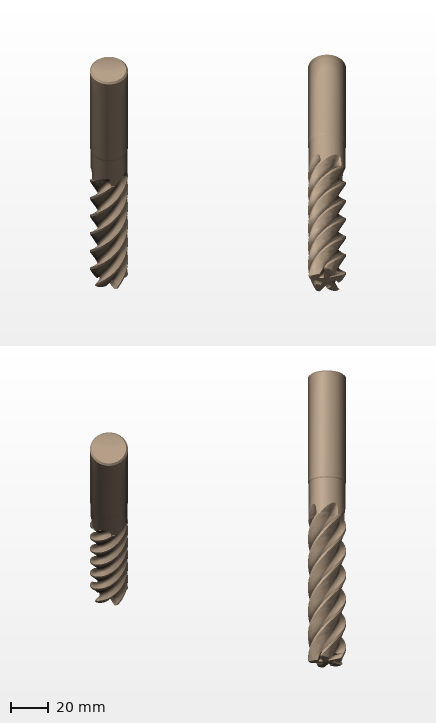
import cadquery as cq
import math

total_length = 160.0
tool_radius = 10.0

shank_chamfer = 1.0
shank_bottom = 100.5
neck_radius = 9.8
neck_taper_height = 0.6

cut_length = 80.0
flute_count = 5
tooth_pitch = 360.0 / flute_count
flute_lead = 67.5
first_edge_angle = -105.0
corner_radius = 1.6

land_angle = 9.0
back_radius = 8.3
back_angle = 27.0
heel_radius = 6.5
heel_angle = 44.0
root_radius = 6.0
root_angle = 54.0
rake_radius = 7.0
rake_angle = 66.0

gash_height = 3.0
gash_width = 2.0
gash_lean = 30.0
gash_inner_radius = 2.0

runout_height = 6.2
runout_steps = 4
runout_rim_radius = 10.0
runout_cutter_radius = 1.5 * tool_radius
tip_start_angle = 48.0
tip_end_angle = 65.0
start_power = 1.2
end_power = 3.0
depth_power = 1.5


def twist_over(height):
    """Angle in degrees that the flutes turn over a height."""
    return 360.0 * height / flute_lead


def polar_point(radius, angle):
    return (radius * math.cos(math.radians(angle)), radius * math.sin(math.radians(angle)))


def add_flute_curve(work, point_at):
    """From the end of a land, draw the tooth back and the hollow flute up to the next cutting edge.

    The function point_at places a radius and an angle of the tooth section.
    """
    return (
        work
        .threePointArc(point_at(back_radius, back_angle), point_at(heel_radius, heel_angle))
        .threePointArc(point_at(root_radius, root_angle), point_at(rake_radius, rake_angle))
        .lineTo(*point_at(tool_radius, tooth_pitch))
    )


def make_teeth():
    """Helical teeth: narrow lands on the tool circle with a flute behind each."""
    section = cq.Workplane("XY").moveTo(*polar_point(tool_radius, first_edge_angle))
    for tooth in range(flute_count):
        edge = first_edge_angle + tooth * tooth_pitch
        section = section.threePointArc(
            polar_point(tool_radius, edge + land_angle / 2), polar_point(tool_radius, edge + land_angle)
        )
        section = add_flute_curve(section, lambda radius, angle: polar_point(radius, edge + angle))
    return section.close().twistExtrude(cut_length, twist_over(cut_length))


def make_gashes():
    """One leaning block per tooth, its side meeting the cutting edge at the gash height."""
    gash = (
        cq.Workplane("XY")
        .box(tool_radius, gash_width, 2 * gash_height, centered=False)
        .translate((gash_inner_radius, -gash_width, -2 * gash_height))
        .rotate((0, 0, 0), (1, 0, 0), -gash_lean)
        .translate((0, 0, gash_height))
    )
    wall_angle = first_edge_angle + twist_over(gash_height)
    gashes = cq.Workplane("XY")
    for tooth in range(flute_count):
        gashes = gashes.add(gash.rotate((0, 0, 0), (0, 0, 1), wall_angle + tooth * tooth_pitch))
    return gashes


def make_corner_ring():
    """Ring that lies outside the rounded lower corner of the teeth."""
    outer_radius = tool_radius + corner_radius
    arc_centre = tool_radius - corner_radius
    arc_reach = corner_radius * math.sqrt(0.5)
    return (
        cq.Workplane("XZ")
        .moveTo(arc_centre, 0)
        .threePointArc((arc_centre + arc_reach, corner_radius - arc_reach), (tool_radius, corner_radius))
        .lineTo(outer_radius, corner_radius)
        .lineTo(outer_radius, 0)
        .close()
        .revolve(360, (0, 0, 0), (0, 1, 0))
    )


def make_cutter():
    """Fluted cutting part with rounded lower corners and gashed tooth ends."""
    cutter = make_teeth().cut(make_corner_ring())
    for gash in make_gashes().vals():
        cutter = cutter.cut(cq.Workplane(gash))
    return cutter.solids()


def make_runout(edge):
    """Cutter for the end of one flute, which gets narrower and shallower until it leaves the neck."""
    runout = cq.Workplane("XY", origin=(0, 0, cut_length))
    for step in range(runout_steps + 1):
        share = step / runout_steps
        start = land_angle + (tip_start_angle - land_angle) * share**start_power
        end = tooth_pitch + (tip_end_angle - tooth_pitch) * share**end_power
        narrowing = (end - start) / (tooth_pitch - land_angle)
        depth = 1 - share**depth_power

        def squeezed_point(radius, angle):
            return polar_point(
                runout_rim_radius - depth * (tool_radius - radius),
                edge + start + narrowing * (angle - land_angle),
            )

        runout = runout.moveTo(*squeezed_point(tool_radius, land_angle))
        runout = (
            add_flute_curve(runout, squeezed_point)
            .lineTo(*polar_point(runout_cutter_radius, edge + end))
            .lineTo(*polar_point(runout_cutter_radius, edge + start))
            .close()
        )
        if step < runout_steps:
            runout = runout.workplane(offset=runout_height / runout_steps)
    return runout.loft(ruled=False)


def make_shank():
    """Chamfered shank that tapers to a slimmer neck, into which the flutes run out."""
    shank = (
        cq.Workplane("XZ")
        .moveTo(0, cut_length)
        .lineTo(neck_radius, cut_length)
        .lineTo(neck_radius, shank_bottom - neck_taper_height)
        .lineTo(tool_radius, shank_bottom)
        .lineTo(tool_radius, total_length)
        .lineTo(0, total_length)
        .close()
        .revolve(360, (0, 0, 0), (0, 1, 0))
        .faces(">Z").edges().chamfer(shank_chamfer)
    )
    top_edge_angle = first_edge_angle + twist_over(cut_length)
    for tooth in range(flute_count):
        shank = shank.cut(make_runout(top_edge_angle + tooth * tooth_pitch))
    return shank.solids()


shank = make_shank()
cutter = make_cutter()
result = cq.Compound.makeCompound([shank.val(), cutter.val()])